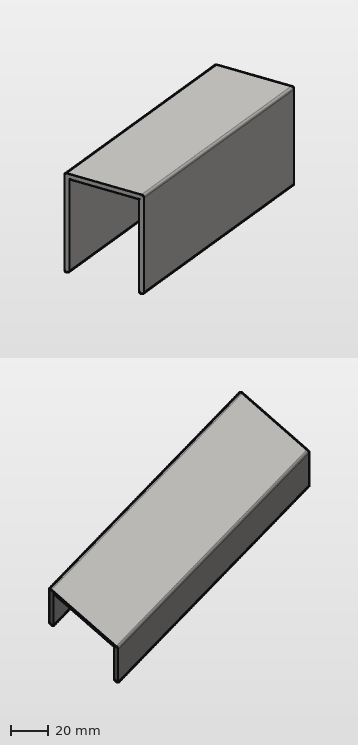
import cadquery as cq

width = 50.8
length = 152.4
height = 60.198

wall = 3.175
tip_radius = wall / 2
corner_radius = wall / 2

half_width = width / 2
half_inner_width = half_width - wall
top = height / 2
bottom = -height / 2
web_underside = top - wall
tip_start = bottom + tip_radius
leg_center = half_width - tip_radius


def channel_profile():
    """U section in the XZ plane, open downwards, with half-round leg ends."""
    return (
        cq.Workplane("XZ")
        .moveTo(-half_width, tip_start)
        .lineTo(-half_width, top)
        .lineTo(half_width, top)
        .lineTo(half_width, tip_start)
        .threePointArc((leg_center, bottom), (half_inner_width, tip_start))
        .lineTo(half_inner_width, web_underside)
        .lineTo(-half_inner_width, web_underside)
        .lineTo(-half_inner_width, tip_start)
        .threePointArc((-leg_center, bottom), (-half_width, tip_start))
        .close()
    )


def round_top_corners(body):
    """Round the two outer edges along the top of the channel."""
    return body.faces(">Z").edges("|Y").fillet(corner_radius)


channel = channel_profile().extrude(length / 2, both=True)
result = round_top_corners(channel)